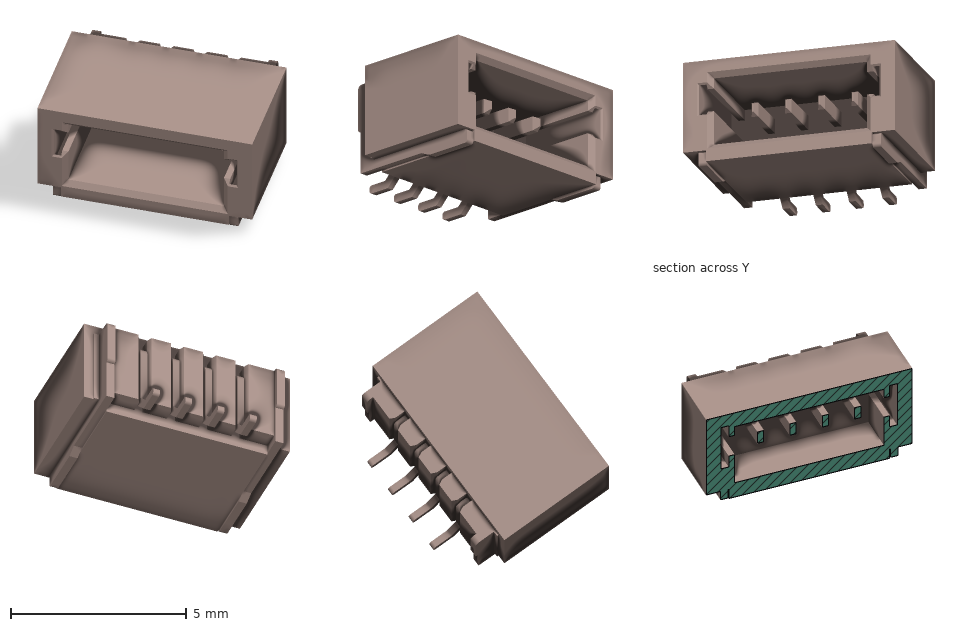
import cadquery as cq
import math


body_width = 6.36
body_depth = 3.7
body_top = 3.14
body_bottom = 0.09
wing_bottom = 0.42
keel_width = 4.975

block_width = 5.48
block_back = 4.19
block_top = 2.83
flange_width = 5.79
flange_thickness = 0.05
pin_slot_width = 0.255
slot_mouth_length = 0.16
slot_mouth_flare = 0.075

cavity_width = 4.605
cavity_bottom = 0.625
cavity_top = 2.625
cavity_back = 3.0
mouth_chamfer = 0.15

key_middle = 1.98
key_neck_height = 0.68
key_neck_reach = 2.485
key_head_height = 0.895
key_head_reach = 2.71
key_chamfer = 0.05
key_undercut = 0.285

pin_count = 4
pin_pitch = 1.0
pin_width = 0.205
contact_bottom = 1.82
contact_top = 2.245
contact_tip = 1.27
contact_taper_length = 0.19
contact_tip_width = 0.045
contact_tip_height = 0.25
tail_end = 5.05
tail_thickness = 0.25
tail_end_radius = 0.095
tail_bend = 4.325
tail_bend_radius = 0.09
stem_back = 4.11
stem_top = 2.48
stem_back_radius = 0.215
stem_front_radius = 0.14

clip_width = 0.25
clip_front = 0.065
clip_underside = 0.135
clip_foot_end = 1.565
clip_ramp_end = 1.895
clip_back = 4.29
clip_tab_back = 4.4
clip_tab_bottom = 1.385
clip_tab_top_radius = 0.15
clip_toe_radius = 0.09

pin_positions = [(i - (pin_count - 1) / 2) * pin_pitch for i in range(pin_count)]


def box(x_min, x_max, y_min, y_max, z_min, z_max):
    size = (x_max - x_min, y_max - y_min, z_max - z_min)
    return cq.Workplane("XY").box(*size, centered=False).translate((x_min, y_min, z_min))


def centred_box(width, y_min, y_max, z_min, z_max):
    return box(-width / 2, width / 2, y_min, y_max, z_min, z_max)


def mouth_funnel(width, z_min, z_max, chamfer):
    """45-degree lead-in from Y = 0 down to a width x (z_min..z_max) opening."""
    return (
        cq.Workplane("XZ")
        .center(0, (z_min + z_max) / 2)
        .rect(width + 2 * chamfer, z_max - z_min + 2 * chamfer)
        .workplane(offset=-chamfer)
        .rect(width, z_max - z_min)
        .loft(combine=True)
    )


def make_opening(width, z_min, z_max, chamfer):
    opening = centred_box(width, 0, cavity_back, z_min, z_max)
    return opening.union(mouth_funnel(width, z_min, z_max, chamfer))


def make_keyway_opening(reach, height, chamfer):
    half_height = height / 2
    return make_opening(2 * reach, key_middle - half_height, key_middle + half_height, chamfer)


def make_housing():
    shell = centred_box(body_width, 0, body_depth, wing_bottom, body_top)
    keel = centred_box(keel_width, 0, body_depth, body_bottom, wing_bottom)
    cavity = make_opening(cavity_width, cavity_bottom, cavity_top, mouth_chamfer)
    neck = make_keyway_opening(key_neck_reach, key_neck_height, mouth_chamfer)
    head = make_keyway_opening(key_head_reach, key_head_height, key_chamfer)
    half_undercut = key_head_height / 2 + key_undercut
    undercut_bottom = key_middle - half_undercut
    undercut_top = key_middle + half_undercut
    head_width = 2 * key_head_reach
    head = head.union(centred_box(head_width, key_chamfer, cavity_back, undercut_bottom, undercut_top))
    lips = centred_box(2 * key_neck_reach, 0, cavity_back, 0, body_top)
    head = head.cut(lips)
    return shell.union(keel).cut(cavity).cut(neck).cut(head)


def make_rear_block():
    block = centred_box(block_width, body_depth, block_back, wing_bottom, block_top)
    flange_back = body_depth + flange_thickness
    block = block.union(centred_box(flange_width, body_depth, flange_back, wing_bottom, block_top))
    half_slot = pin_slot_width / 2
    half_mouth = half_slot + slot_mouth_flare
    mouth_start = block_back - slot_mouth_length
    for x in pin_positions:
        slot = (
            cq.Workplane("XY")
            .moveTo(x - half_slot, body_depth)
            .lineTo(x - half_slot, mouth_start)
            .lineTo(x - half_mouth, block_back)
            .lineTo(x + half_mouth, block_back)
            .lineTo(x + half_slot, mouth_start)
            .lineTo(x + half_slot, body_depth)
            .close()
            .extrude(block_top)
        )
        block = block.cut(slot)
    return block


def make_contact():
    """Blade from the stem into the cavity, with a tapered tip towards the mating face."""
    taper_end = contact_tip + contact_taper_length
    blade = centred_box(pin_width, taper_end, body_depth, contact_bottom, contact_top)
    tip = (
        cq.Workplane("XZ", origin=(0, taper_end, (contact_bottom + contact_top) / 2))
        .rect(pin_width, contact_top - contact_bottom)
        .workplane(offset=contact_taper_length)
        .rect(contact_tip_width, contact_tip_height)
        .loft(combine=True)
    )
    return blade.union(tip)


def make_tail():
    """Solder tail climbing at 45 degrees into an upright stem against the rear wall."""
    upper_bend = tail_bend + tail_thickness * math.tan(math.radians(22.5))
    slope_top = tail_thickness + upper_bend - stem_back
    tail = (
        cq.Workplane("YZ")
        .moveTo(tail_end, 0)
        .lineTo(tail_end, tail_thickness)
        .lineTo(upper_bend, tail_thickness)
        .lineTo(stem_back, slope_top)
        .lineTo(stem_back, stem_top)
        .lineTo(body_depth, stem_top)
        .lineTo(body_depth, tail_bend - body_depth)
        .lineTo(tail_bend, 0)
        .close()
        .extrude(pin_width / 2, both=True)
    )
    upper_bend_edge = cq.NearestToPointSelector((0, upper_bend, tail_thickness))
    stem_back_edge = cq.NearestToPointSelector((0, stem_back, stem_top))
    stem_front_edge = cq.NearestToPointSelector((0, body_depth, stem_top))
    tail = tail.edges("|X and >Y").fillet(tail_end_radius)
    tail = tail.edges("|X").edges(upper_bend_edge).fillet(tail_bend_radius)
    tail = tail.edges("|X").edges(stem_back_edge).fillet(stem_back_radius)
    return tail.edges("|X").edges(stem_front_edge).fillet(stem_front_radius)


def make_clip():
    """Hold-down clip: foot under the flank, upright and tab behind the housing."""
    tab_step = clip_tab_back - clip_back
    step_round = tab_step * math.sin(math.radians(45))
    top_round = clip_tab_top_radius * (1 - math.sin(math.radians(45)))
    return (
        cq.Workplane("YZ")
        .moveTo(clip_front + clip_toe_radius, 0)
        .lineTo(clip_foot_end, 0)
        .lineTo(clip_ramp_end, clip_underside)
        .lineTo(clip_back, clip_underside)
        .lineTo(clip_back, clip_tab_bottom)
        .threePointArc(
            (clip_back + step_round, clip_tab_bottom + tab_step - step_round),
            (clip_tab_back, clip_tab_bottom + tab_step),
        )
        .lineTo(clip_tab_back, block_top - clip_tab_top_radius)
        .threePointArc(
            (clip_tab_back - top_round, block_top - top_round),
            (clip_tab_back - clip_tab_top_radius, block_top),
        )
        .lineTo(body_depth, block_top)
        .lineTo(body_depth, wing_bottom)
        .lineTo(clip_front + clip_toe_radius, wing_bottom)
        .radiusArc((clip_front, wing_bottom - clip_toe_radius), -clip_toe_radius)
        .lineTo(clip_front, clip_toe_radius)
        .radiusArc((clip_front + clip_toe_radius, 0), -clip_toe_radius)
        .close()
        .extrude(clip_width)
        .translate((block_width / 2 - clip_width, 0, 0))
    )


result = make_housing().union(make_rear_block())
pin = make_contact().union(make_tail())
for pin_x in pin_positions:
    result = result.union(pin.translate((pin_x, 0, 0)))
clip = make_clip()
result = result.union(clip).union(clip.mirror("YZ"))